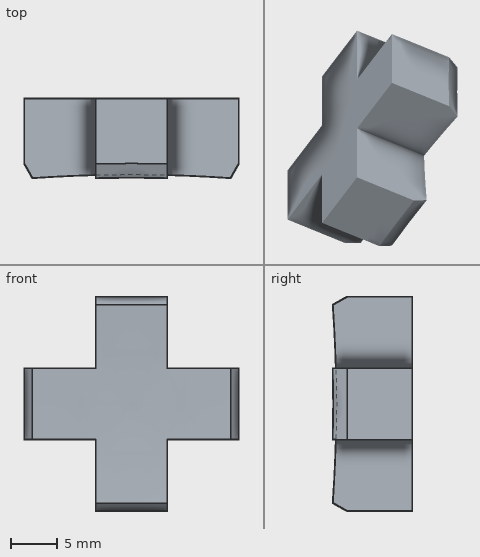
import cadquery as cq
import math

span = 23.1
arm_width = span / 3
depth = 8.6

chamfer_setback = 0.88
chamfer_drop = 1.62

dish_radius = 150.15
rim_radius = math.hypot(span / 2 - chamfer_setback, arm_width / 2)
dish_center_y = -depth - math.sqrt(dish_radius**2 - rim_radius**2)

trim_allowance = 0.23
blank_depth = depth + trim_allowance



def arm_bar(size_x, size_z):
    """Bar centred on the Y axis, reaching forward from the back face."""
    bar = cq.Workplane("XY").box(size_x, blank_depth, size_z)
    return bar.translate((0, -blank_depth / 2, 0))


def dished_cross():
    """Two crossed bars with the spherical dish cut into the front."""
    cross = arm_bar(span, arm_width).union(arm_bar(arm_width, span))
    dish = cq.Workplane("XY").sphere(dish_radius).translate((0, dish_center_y, 0))
    return cross.cut(dish)


def chamfer_arm_ends(body):
    """Bevel the curved front edge of all four arm ends."""
    for end_face in (">X", "<X", ">Z", "<Z"):
        front_edge = body.faces(end_face).edges("%CIRCLE")
        body = front_edge.chamfer(chamfer_setback, chamfer_drop)
    return body


result = chamfer_arm_ends(dished_cross())